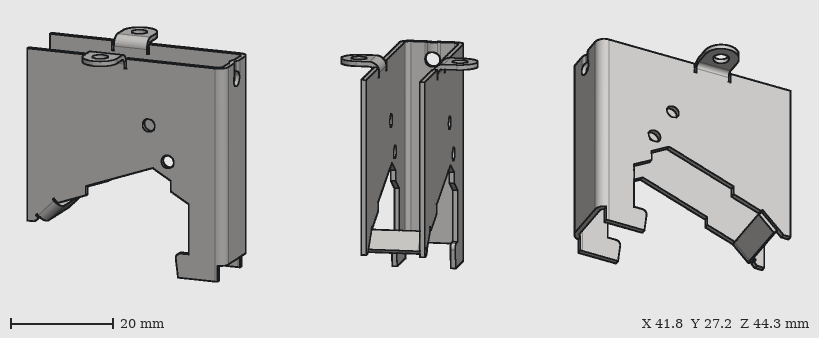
import cadquery as cq
import math

SHEET = 1.0
BEND_INNER = 1.0
BEND_OUTER = BEND_INNER + SHEET
ARC_MID = math.sqrt(0.5)

LENGTH = 41.8
WIDTH = 12.7
HALF_WIDTH = WIDTH / 2
INNER_HALF_WIDTH = HALF_WIDTH - SHEET
DEPTH = 43.3
BACK_WALL_DEPTH = 40.1
LEG_BACK_X = 40.25

FRONT_DEPTH = 35.0
STEP_X = 12.46
STEP_TOP_Z = -26.75
STEP_BOTTOM_Z = -28.6
APEX_X = 26.6
APEX_Z = -21.6
NOTCH_X = 30.4
NOTCH_HEIGHT = 2.15
LEG_FRONT_X = 34.2
EDGE_SLOPE = math.tan(math.radians(20))
NOTCH_SLOPE = math.tan(math.radians(30))

HOOK_TOP_Z = -38.35
HOOK_TIP_X = 31.33
HOOK_FOOT_X = 31.95
HOOK_RADIUS = 1.0

CROSS_HOLE_DIAMETER = 2.6
CROSS_HOLES = [(25.75, -13.0), (29.75, -20.0)]

TAB_X = 17.05
TAB_WIDTH = 7.0
TAB_HOLE_DIAMETER = 3.1
TAB_REACH = 13.6
TAB_SLOT_WIDTH = 0.45
TAB_SLOT_DEPTH = 2.0

BACK_HOLE_DIAMETER = 3.0
BACK_HOLE_Z = -3.45
GROOVE_HALF_WIDTH = BACK_HOLE_DIAMETER / 2
GROOVE_DEPTH = 0.4
GROOVE_FLOOR_SHARE = 2 / 3

STRIP_ANGLE = math.radians(45)
STRIP_LENGTH = 4.75
STRIP_CENTER_X = 3.95
STRIP_CENTER_Z = -32.0
STRIP_RELIEF_WIDTH = 0.3
STRIP_RELIEF_DEPTH = 0.3
STRIP_EDGE_OFFSET = 0.45


def rounded_block(length, half_width, radius):
    """Full-depth block whose two upright +X corners are rounded."""
    block = cq.Workplane("XY").box(length, 2 * half_width, DEPTH, centered=(False, True, False))
    return block.edges("|Z and >X").fillet(radius).translate((0, 0, -DEPTH))


def make_channel():
    """U-shaped sheet of full depth, before the side outline is trimmed."""
    outside = rounded_block(LENGTH, HALF_WIDTH, BEND_OUTER)
    inside = rounded_block(LENGTH - SHEET, INNER_HALF_WIDTH, BEND_INNER)
    return outside.cut(inside)


def make_side_profile():
    """Side outline of the channel, extruded across its whole width."""
    strip_cos = math.cos(STRIP_ANGLE)
    strip_sin = math.sin(STRIP_ANGLE)
    edge_z_at_center = STRIP_CENTER_Z - STRIP_EDGE_OFFSET / strip_cos
    foot_x = STRIP_CENTER_X + (-FRONT_DEPTH - edge_z_at_center) / math.tan(STRIP_ANGLE)
    reach = STRIP_LENGTH / 2 + STRIP_RELIEF_WIDTH
    edge_end_x = STRIP_CENTER_X + reach * strip_cos + STRIP_EDGE_OFFSET * strip_sin
    edge_end_z = STRIP_CENTER_Z + reach * strip_sin - STRIP_EDGE_OFFSET * strip_cos
    height_above_edge = edge_end_z - STEP_BOTTOM_Z + EDGE_SLOPE * (STEP_X - edge_end_x)
    jog = height_above_edge / (strip_cos + EDGE_SLOPE * strip_sin)
    corner_x = edge_end_x + jog * strip_sin
    corner_z = edge_end_z - jog * strip_cos

    notch_top_z = APEX_Z - NOTCH_SLOPE * (NOTCH_X - APEX_X)
    notch_bottom_z = notch_top_z - NOTCH_HEIGHT
    leg_top_z = notch_bottom_z - NOTCH_SLOPE * (LEG_FRONT_X - NOTCH_X)
    outline = [
        (0, 0),
        (0, -FRONT_DEPTH),
        (foot_x, -FRONT_DEPTH),
        (edge_end_x, edge_end_z),
        (corner_x, corner_z),
        (STEP_X, STEP_BOTTOM_Z),
        (STEP_X, STEP_TOP_Z),
        (APEX_X, APEX_Z),
        (NOTCH_X, notch_top_z),
        (NOTCH_X, notch_bottom_z),
        (LEG_FRONT_X, leg_top_z),
        (LEG_FRONT_X, HOOK_TOP_Z),
        (HOOK_TIP_X, HOOK_TOP_Z),
        (HOOK_FOOT_X, -DEPTH),
        (LEG_BACK_X, -DEPTH),
        (LEG_BACK_X, -BACK_WALL_DEPTH),
        (LENGTH, -BACK_WALL_DEPTH),
        (LENGTH, 0),
    ]
    profile = cq.Workplane("XZ").polyline(outline).close().extrude(HALF_WIDTH, both=True)
    hook_corner = cq.selectors.NearestToPointSelector((HOOK_TIP_X, 0, HOOK_TOP_Z))
    return profile.edges("|Y").edges(hook_corner).fillet(HOOK_RADIUS)


def make_cross_holes():
    """Cylinders that pierce both side walls."""
    holes = cq.Workplane("XZ").pushPoints(CROSS_HOLES).circle(CROSS_HOLE_DIAMETER / 2)
    return holes.extrude(WIDTH, both=True)


def make_tab():
    """Tab on the +Y side: bend from the wall, then a flat round-ended ear."""
    tip_radius = TAB_WIDTH / 2
    bend_y = HALF_WIDTH + BEND_INNER
    eye_y = TAB_REACH - tip_radius
    section = (
        cq.Workplane("YZ", origin=(TAB_X, 0, 0))
        .moveTo(INNER_HALF_WIDTH, -TAB_SLOT_DEPTH)
        .lineTo(INNER_HALF_WIDTH, -BEND_INNER)
        .threePointArc(
            (bend_y - BEND_OUTER * ARC_MID, BEND_OUTER * ARC_MID - BEND_INNER),
            (bend_y, SHEET),
        )
        .lineTo(TAB_REACH, SHEET)
        .lineTo(TAB_REACH, 0)
        .lineTo(bend_y, 0)
        .threePointArc(
            (bend_y - BEND_INNER * ARC_MID, BEND_INNER * ARC_MID - BEND_INNER),
            (HALF_WIDTH, -BEND_INNER),
        )
        .lineTo(HALF_WIDTH, -TAB_SLOT_DEPTH)
        .close()
        .extrude(TAB_WIDTH / 2, both=True)
    )
    plan = (
        cq.Workplane("XY", origin=(TAB_X, 0, -TAB_SLOT_DEPTH))
        .moveTo(-tip_radius, 0)
        .lineTo(-tip_radius, eye_y)
        .threePointArc((0, TAB_REACH), (tip_radius, eye_y))
        .lineTo(tip_radius, 0)
        .close()
        .extrude(TAB_SLOT_DEPTH + SHEET)
    )
    hole = cq.Workplane("XY").center(TAB_X, eye_y).circle(TAB_HOLE_DIAMETER / 2).extrude(SHEET)
    return section.intersect(plan).cut(hole)


def make_tab_gap():
    """Opening in both walls that holds a tab and a relief slot at each side."""
    gap_width = TAB_WIDTH + 2 * TAB_SLOT_WIDTH
    gap = cq.Workplane("XY").box(gap_width, WIDTH, TAB_SLOT_DEPTH)
    return gap.translate((TAB_X, 0, -TAB_SLOT_DEPTH / 2))


def make_groove_body(face_x, floor_radius, flank_radius, angle):
    """Space on the +X side of a grooved face whose flat part lies at face_x."""
    center_x = face_x - GROOVE_DEPTH + floor_radius
    flank_x = face_x - flank_radius
    join = (center_x - floor_radius * math.cos(angle), floor_radius * math.sin(angle))
    flank_mid = (
        flank_x + flank_radius * math.cos(angle / 2),
        GROOVE_HALF_WIDTH - flank_radius * math.sin(angle / 2),
    )
    return (
        cq.Workplane("XY")
        .moveTo(face_x, -GROOVE_HALF_WIDTH)
        .threePointArc((flank_mid[0], -flank_mid[1]), (join[0], -join[1]))
        .threePointArc((face_x - GROOVE_DEPTH, 0), join)
        .threePointArc(flank_mid, (face_x, GROOVE_HALF_WIDTH))
        .close()
        .extrude(BACK_HOLE_Z)
    )


def press_groove(body):
    """Bow the back wall inward at constant thickness, then pierce the hole."""
    angle = 2 * math.atan(GROOVE_DEPTH / GROOVE_HALF_WIDTH)
    radius_sum = GROOVE_HALF_WIDTH / math.sin(angle)
    inner_floor = radius_sum * GROOVE_FLOOR_SHARE
    inner_flank = radius_sum - inner_floor
    bump = make_groove_body(LENGTH - SHEET, inner_floor, inner_flank, angle)
    groove = make_groove_body(LENGTH, inner_floor - SHEET, inner_flank + SHEET, angle)
    hole = (
        cq.Workplane("YZ", origin=(LENGTH, 0, BACK_HOLE_Z))
        .circle(BACK_HOLE_DIAMETER / 2)
        .extrude(2 * SHEET, both=True)
    )
    return body.union(bump).cut(groove).cut(hole)


def strip_plane():
    """Local x points away from the wall edge, local y along Y, normal along the bend line."""
    along = (math.cos(STRIP_ANGLE), 0, math.sin(STRIP_ANGLE))
    outward = (math.sin(STRIP_ANGLE), 0, -math.cos(STRIP_ANGLE))
    return cq.Plane(origin=(STRIP_CENTER_X, 0, STRIP_CENTER_Z), xDir=outward, normal=along)


def make_strip():
    """Strip that bends inward from the -Y wall and runs below the edge of the +Y wall."""
    bend_y = BEND_OUTER - HALF_WIDTH
    return (
        cq.Workplane(strip_plane())
        .moveTo(-STRIP_RELIEF_DEPTH, -HALF_WIDTH)
        .lineTo(0, -HALF_WIDTH)
        .threePointArc((BEND_OUTER * ARC_MID, bend_y - BEND_OUTER * ARC_MID), (BEND_OUTER, bend_y))
        .lineTo(BEND_OUTER, HALF_WIDTH)
        .lineTo(BEND_INNER, HALF_WIDTH)
        .lineTo(BEND_INNER, bend_y)
        .threePointArc((BEND_INNER * ARC_MID, bend_y - BEND_INNER * ARC_MID), (0, -INNER_HALF_WIDTH))
        .lineTo(-STRIP_RELIEF_DEPTH, -INNER_HALF_WIDTH)
        .close()
        .extrude(STRIP_LENGTH / 2, both=True)
    )


def make_strip_gap():
    """Opening in the -Y wall for the strip and a relief notch at each end."""
    return (
        cq.Workplane(strip_plane())
        .moveTo(-STRIP_RELIEF_DEPTH, -HALF_WIDTH)
        .rect(STRIP_RELIEF_DEPTH + BEND_OUTER, SHEET, centered=False)
        .extrude(STRIP_LENGTH / 2 + STRIP_RELIEF_WIDTH, both=True)
    )


body = make_channel().intersect(make_side_profile())
body = body.cut(make_cross_holes()).cut(make_tab_gap()).cut(make_strip_gap())
tab = make_tab()
body = body.union(tab).union(tab.mirror("XZ")).union(make_strip())
result = press_groove(body)